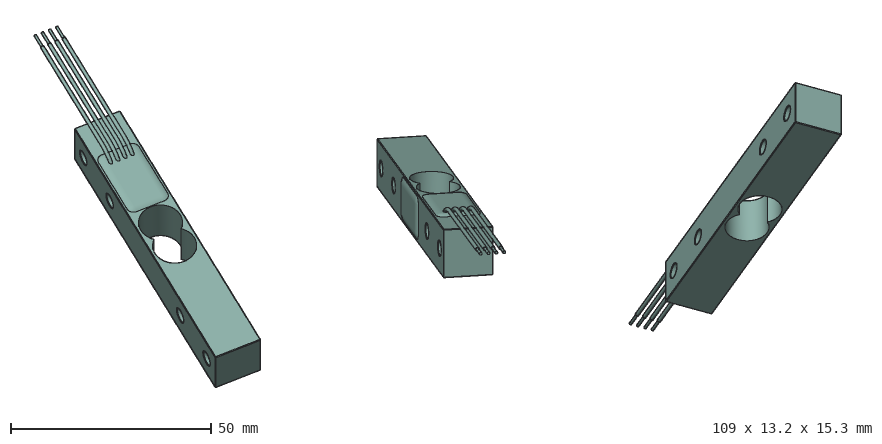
import cadquery as cq
import math

beam_length = 80.0
beam_side = 12.7
beam_edge_chamfer = 0.2

mount_hole_diameter = 3.8
mount_hole_chamfer = 0.2
mount_hole_end_distances = (5.0, 20.0)

bore_diameter = 11.0
bore_spacing = 8.0

pad_length = 19.8
pad_width = 11.3
pad_height = 0.5
pad_edge_width = 1.8
pad_edge_radius = (pad_edge_width**2 + pad_height**2) / (2 * pad_height)
top_pad_start = 10.5

wire_count = 4
wire_pitch = 2.0
wire_diameter = 1.0
conductor_diameter = 0.7
conductor_length = 4.0
wire_overhang = 29.0
wire_top_height = 15.28
bend_start = 8.6
wire_end = 14.3

wire_axis_height = wire_top_height - wire_diameter / 2
insulation_start = conductor_length - wire_overhang

bend_run = wire_end - bend_start
bend_drop = wire_axis_height - beam_side
bend_radius = (bend_run**2 + bend_drop**2) / (2 * bend_drop)
bend_angle = math.asin(bend_run / bend_radius)
bend_middle = (
    bend_start + bend_radius * math.sin(bend_angle / 2),
    wire_axis_height - bend_radius * (1 - math.cos(bend_angle / 2)),
)
bend_end = (wire_end, wire_axis_height - bend_drop)


def make_pad():
    """Pad centred on the origin, standing on Z = 0.

    It is the top slice of a block whose upright and top edges share one rounding radius.
    """
    block_margin = 2 * (pad_edge_radius - pad_edge_width)
    block_height = 2 * pad_edge_radius
    block_length = pad_length + block_margin
    block_width = pad_width + block_margin
    block = (
        cq.Workplane(origin=(0, 0, pad_height - block_height))
        .rect(block_length, block_width)
        .extrude(block_height)
        .edges("|Z")
        .fillet(pad_edge_radius)
        .faces(">Z")
        .edges()
        .fillet(pad_edge_radius)
    )
    slice_box = cq.Workplane().rect(block_length, block_width).extrude(pad_height)
    return block.intersect(slice_box)


def make_mount_hole():
    """Cutter for a hole along Y, flared by a chamfer at both faces of the beam."""
    radius = mount_hole_diameter / 2
    mouth_radius = radius + mount_hole_chamfer
    half_depth = beam_side / 2
    return (
        cq.Workplane("XY")
        .moveTo(0, -half_depth)
        .lineTo(mouth_radius, -half_depth)
        .lineTo(radius, mount_hole_chamfer - half_depth)
        .lineTo(radius, half_depth - mount_hole_chamfer)
        .lineTo(mouth_radius, half_depth)
        .lineTo(0, half_depth)
        .close()
        .revolve()
    )


def make_beam():
    """Bar with chamfered edges, mounting holes, binocular opening and a pad on its +Y side."""
    bar = (
        cq.Workplane("XY")
        .box(beam_length, beam_side, beam_side, centered=(False, True, False))
        .edges()
        .chamfer(beam_edge_chamfer)
    )

    mount_hole = make_mount_hole()
    beam = bar
    for distance in mount_hole_end_distances:
        for hole_x in (distance, beam_length - distance):
            beam = beam.cut(mount_hole.translate((hole_x, 0, beam_side / 2)))

    for side in (-1, 1):
        bore_x = beam_length / 2 + side * bore_spacing / 2
        beam = beam.cut(cq.Workplane(origin=(bore_x, 0, 0)).circle(bore_diameter / 2).extrude(beam_side))

    side_pad = (
        make_pad()
        .rotate((0, 0, 0), (1, 0, 0), -90)
        .translate((beam_length / 2, beam_side / 2, beam_side / 2))
    )
    return beam.union(side_pad)


def make_wire(y):
    """Bare conductor tip, straight insulated run and the bend down to the pad."""
    tip = (
        cq.Workplane("YZ", origin=(-wire_overhang, y, wire_axis_height))
        .circle(conductor_diameter / 2)
        .extrude(conductor_length)
    )
    path = (
        cq.Workplane("XZ", origin=(0, y, 0))
        .moveTo(insulation_start, wire_axis_height)
        .lineTo(bend_start, wire_axis_height)
        .threePointArc(bend_middle, bend_end)
    )
    insulation = (
        cq.Workplane("YZ", origin=(insulation_start, y, wire_axis_height))
        .circle(wire_diameter / 2)
        .sweep(path)
    )
    return tip.union(insulation)


def make_wire_pad():
    """Pad on top of the beam with the wires set into it."""
    wire_pad = make_pad().translate((top_pad_start + pad_length / 2, 0, beam_side))
    for index in range(wire_count):
        y = (index - (wire_count - 1) / 2) * wire_pitch
        wire_pad = wire_pad.union(make_wire(y))
    return wire_pad


beam = make_beam()
wire_pad = make_wire_pad().cut(beam)

result = cq.Compound.makeCompound([beam.val(), wire_pad.val()])